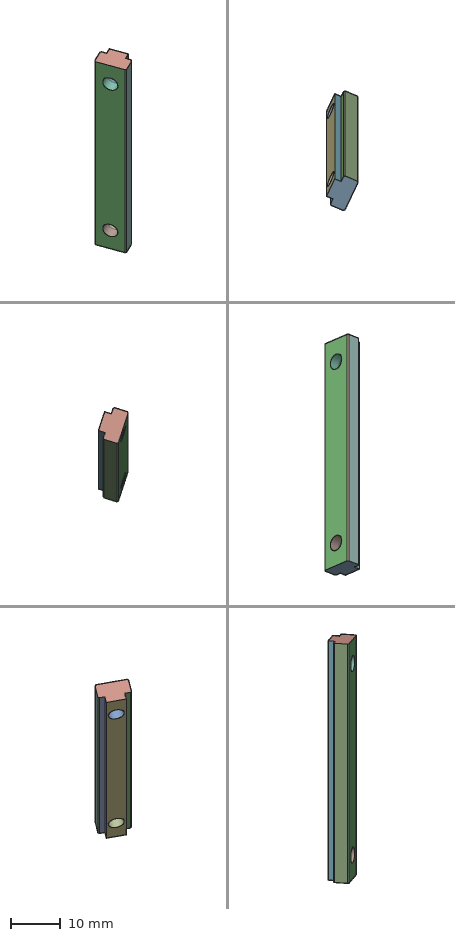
import cadquery as cq

length = 50.0
width = 6.9
depth = 4.6
tongue_width = 4.1
tongue_height = 1.4
edge_chamfer = 0.25
hole_diameter = 3.25
hole_spacing = 40.0

body_depth = depth - tongue_height
front_face = -depth / 2
shoulder = front_face + body_depth

body = (
    cq.Workplane("XY")
    .box(width, body_depth, length)
    .edges("|Z")
    .chamfer(edge_chamfer)
    .translate((0, front_face + body_depth / 2, 0))
)

tongue = (
    cq.Workplane("XY")
    .box(tongue_width, tongue_height, length)
    .translate((0, shoulder + tongue_height / 2, 0))
)

holes = (
    cq.Workplane("XZ")
    .pushPoints([(0, -hole_spacing / 2), (0, hole_spacing / 2)])
    .circle(hole_diameter / 2)
    .extrude(depth, both=True)
)

result = body.union(tongue).cut(holes)